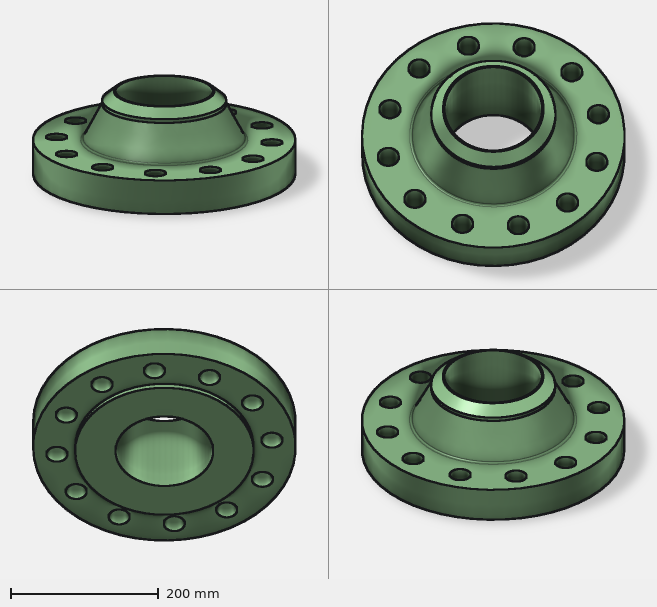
import cadquery as cq

flange_diameter = 355.5
total_height = 125.0

raised_face_diameter = 241.7
raised_face_height = 7.8
flange_thickness = 48.0
flange_top = raised_face_height + flange_thickness

hub_base_diameter = 221.5
neck_diameter = 168.0
neck_end_diameter = 136.0
bore_diameter = 132.2
bevel_height = 12.8
neck_land_height = 5.5
hub_fillet_radius = 4.0
bevel_start = total_height - bevel_height
cone_top = bevel_start - neck_land_height

bolt_hole_count = 12
bolt_hole_diameter = 28.5
bolt_circle_diameter = 292.2


def make_flange():
    """Flange disc standing on its raised face, which rests on Z = 0."""
    raised_face = cq.Workplane("XY").circle(raised_face_diameter / 2).extrude(raised_face_height)
    disc = (
        cq.Workplane("XY")
        .workplane(offset=raised_face_height)
        .circle(flange_diameter / 2)
        .extrude(flange_thickness)
    )
    return raised_face.union(disc)


def make_neck():
    """Solid tapered neck, revolved about Z from its half profile."""
    return (
        cq.Workplane("XZ")
        .moveTo(0, flange_top)
        .lineTo(hub_base_diameter / 2, flange_top)
        .lineTo(neck_diameter / 2, cone_top)
        .lineTo(neck_diameter / 2, bevel_start)
        .lineTo(neck_end_diameter / 2, total_height)
        .lineTo(0, total_height)
        .close()
        .revolve(360, (0, 0, 0), (0, 1, 0))
    )


def round_hub_foot(body):
    """Fillet the corner between cone and flange, the smaller circle at the flange top."""
    margin = 0.5
    flange_top_edges = cq.selectors.BoxSelector(
        (-margin, -margin, flange_top - margin),
        (margin, margin, flange_top + margin),
    )
    smallest_circle = cq.selectors.RadiusNthSelector(0)
    return body.edges(flange_top_edges).edges(smallest_circle).fillet(hub_fillet_radius)


def make_bore():
    """Straight bore through the full height."""
    return cq.Workplane("XY").circle(bore_diameter / 2).extrude(total_height)


def make_bolt_holes():
    """Ring of through holes, the first one on the +X axis."""
    return (
        cq.Workplane("XY")
        .polarArray(bolt_circle_diameter / 2, 0, 360, bolt_hole_count)
        .circle(bolt_hole_diameter / 2)
        .extrude(flange_top)
    )


body = round_hub_foot(make_flange().union(make_neck()))
result = body.cut(make_bore()).cut(make_bolt_holes())